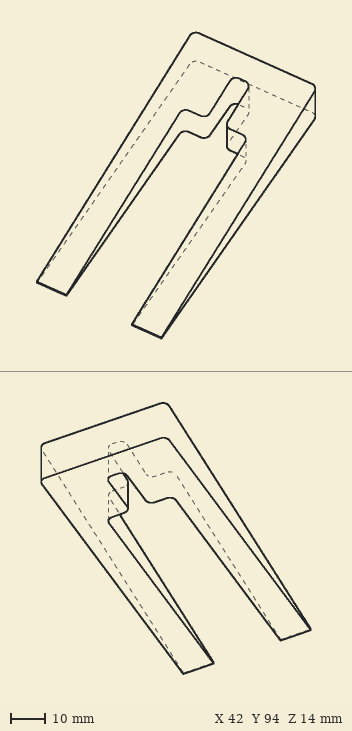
import cadquery as cq

width = 42.0
length = 94.0
heel_height = 14.0
tip_height = 0.5
corner_radius = 2.0

leg_width = 10.0
wide_slot_width = width - 2 * leg_width
narrow_slot_width = 6.0
heel_to_wide_slot = 24.0
heel_to_narrow_slot = 8.0

tip_y = -length / 2
heel_y = length / 2
wide_slot_end_y = heel_y - heel_to_wide_slot
narrow_slot_end_y = heel_y - heel_to_narrow_slot


def make_wedge():
    """Solid ramp rising from the thin tip to the heel, with rounded heel corners."""
    profile = [
        (tip_y, 0),
        (heel_y, 0),
        (heel_y, heel_height),
        (tip_y, tip_height),
    ]
    ramp = cq.Workplane("YZ").polyline(profile).close().extrude(width / 2, both=True)
    return ramp.edges("|Z and >Y").fillet(corner_radius)


def make_slot():
    """Cutter for the wide slot between the legs and the narrow slot beyond it."""
    wide_half = wide_slot_width / 2
    narrow_half = narrow_slot_width / 2
    outline = [
        (-wide_half, tip_y),
        (wide_half, tip_y),
        (wide_half, wide_slot_end_y),
        (narrow_half, wide_slot_end_y),
        (narrow_half, narrow_slot_end_y),
        (-narrow_half, narrow_slot_end_y),
        (-narrow_half, wide_slot_end_y),
        (-wide_half, wide_slot_end_y),
    ]
    cutter = cq.Workplane("XY").polyline(outline).close().extrude(heel_height)
    return cutter.edges("|Z").edges("not <Y").fillet(corner_radius)


result = make_wedge().cut(make_slot())